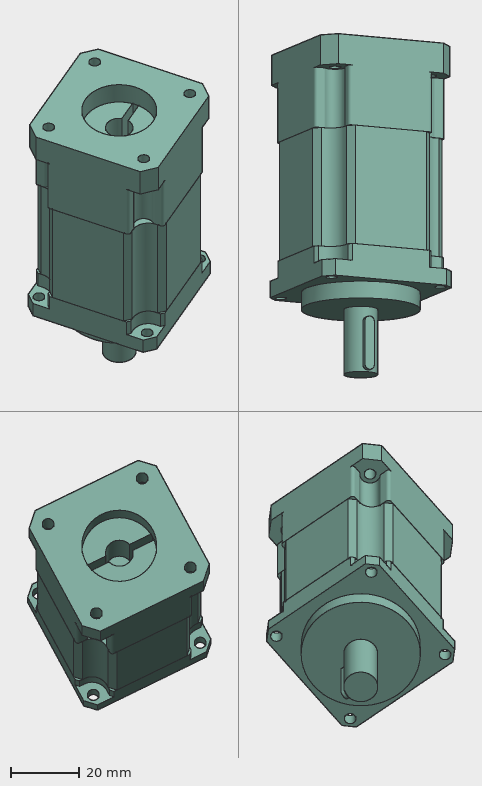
import cadquery as cq


width = 42.0
total_height = 97.0
half_width = width / 2

shaft_overhang = 19.5
pilot_height = 5.0
flange_plate = 4.9
flange_shoulder = 5.0
adapter_height = 27.0
pilot_bottom = shaft_overhang
flange_bottom = pilot_bottom + pilot_height
flange_notch_floor = flange_bottom + flange_plate
ring_bottom = flange_notch_floor + flange_shoulder
adapter_bottom = total_height - adapter_height
ring_height = adapter_bottom - ring_bottom

notch_wall = 13.5
notch_radius = 4.9
notch_size = half_width - notch_wall
flange_lip = 1.0
ring_lip = 1.9

screw_hole_diameter = 3.4
motor_screw_offset = 15.5
output_screw_offset = 17.7

flange_chamfer = 3.0
pilot_diameter = 35.0

shaft_diameter = 10.0
key_width = 3.0
key_length = 16.0
key_gap = 0.5
key_reach = 6.2
key_seat = 3.0

adapter_chamfer = 4.0
adapter_plate = 9.0
head_pocket_radius = 3.0
lip_fillet = 1.0
recess_diameter = 22.0
recess_depth = 7.0

hub_diameter = 23.0
hub_web = 5.0
input_bore_diameter = 8.05
clamp_slot_width = 2.0
hub_bottom = adapter_bottom
hub_top = total_height - recess_depth
hub_height = hub_top - hub_bottom

corners = [(sx, sy) for sx in (-1, 1) for sy in (-1, 1)]


def square_block(bottom, height):
    return cq.Workplane("XY").workplane(offset=bottom).rect(width, width).extrude(height)


def cylinder(diameter, bottom, height):
    return cq.Workplane("XY").workplane(offset=bottom).circle(diameter / 2).extrude(height)


def at_corners(offset):
    return [(sx * offset, sy * offset) for sx, sy in corners]


def corner_cutter(sx, sy, lip, bottom, height):
    """Prism that removes one corner: a square notch whose mouths widen at 45 degrees by `lip`."""
    lip_start = half_width - lip
    lip_end = notch_wall - lip
    outline = [
        (lip_end, half_width),
        (notch_wall, lip_start),
        (notch_wall, notch_wall),
        (lip_start, notch_wall),
        (half_width, lip_end),
        (half_width, half_width),
    ]
    points = [(sx * x, sy * y) for x, y in outline]
    return cq.Workplane("XY").workplane(offset=bottom).polyline(points).close().extrude(height)


def rounded_corner_cutter(sx, sy, lip, bottom, height):
    """Corner prism with its inner edge rounded."""
    cutter = corner_cutter(sx, sy, lip, bottom, height)
    inner_edge = cq.selectors.NearestToPointSelector((sx * notch_wall, sy * notch_wall, bottom + height / 2))
    return cutter.edges(inner_edge).fillet(notch_radius)


def cut_screw_holes(body, offset, bottom, height):
    holes = (
        cq.Workplane("XY")
        .workplane(offset=bottom)
        .pushPoints(at_corners(offset))
        .circle(screw_hole_diameter / 2)
        .extrude(height)
    )
    return body.cut(holes)


def make_output_flange():
    """Square mounting flange with notched corners, a round pilot below and a shaft hole."""
    height = ring_bottom - flange_bottom
    flange = square_block(flange_bottom, height).edges("|Z").chamfer(flange_chamfer)
    for sx, sy in corners:
        flange = flange.cut(rounded_corner_cutter(sx, sy, flange_lip, flange_notch_floor, flange_shoulder))
    flange = cut_screw_holes(flange, output_screw_offset, flange_bottom, height)
    flange = flange.union(cylinder(pilot_diameter, pilot_bottom, pilot_height))
    return flange.cut(cylinder(shaft_diameter, pilot_bottom, ring_bottom - pilot_bottom))


def make_ring_housing():
    """Middle section with full-height corner notches and a shaft hole."""
    ring = square_block(ring_bottom, ring_height)
    for sx, sy in corners:
        ring = ring.cut(rounded_corner_cutter(sx, sy, ring_lip, ring_bottom, ring_height))
    return ring.cut(cylinder(shaft_diameter, ring_bottom, ring_height))


def make_adapter_walls():
    """Lower adapter section: square notches opened by round screw-head pockets, with eased edges."""
    height = adapter_height - adapter_plate
    walls = square_block(adapter_bottom, height)
    notches = (
        cq.Workplane("XY")
        .workplane(offset=adapter_bottom)
        .pushPoints(at_corners(half_width - notch_size / 2))
        .rect(notch_size, notch_size)
        .extrude(height)
    )
    pockets = (
        cq.Workplane("XY")
        .workplane(offset=adapter_bottom)
        .pushPoints(at_corners(motor_screw_offset))
        .circle(head_pocket_radius)
        .extrude(height)
    )
    return walls.cut(notches).cut(pockets).edges("|Z").fillet(lip_fillet)


def make_motor_adapter():
    """Motor flange with a centring recess that opens into the wider hub cavity below."""
    plate_bottom = total_height - adapter_plate
    plate = square_block(plate_bottom, adapter_plate).edges("|Z").chamfer(adapter_chamfer)
    plate = cut_screw_holes(plate, motor_screw_offset, plate_bottom, adapter_plate)
    adapter = plate.union(make_adapter_walls())
    adapter = adapter.cut(cylinder(recess_diameter, hub_top, recess_depth))
    return adapter.cut(cylinder(hub_diameter, hub_bottom, hub_height))


def make_clamp_hub():
    """Round hub with a motor bore and a slot across its full diameter."""
    cut_bottom = hub_bottom + hub_web
    cut_depth = hub_top - cut_bottom
    slot = (
        cq.Workplane("XY")
        .workplane(offset=cut_bottom)
        .rect(clamp_slot_width, hub_diameter)
        .extrude(cut_depth)
    )
    bore = cylinder(input_bore_diameter, cut_bottom, cut_depth)
    return cylinder(hub_diameter, hub_bottom, hub_height).cut(bore).cut(slot)


def make_shaft():
    """Shaft through flange and ring housing: clamp hub on top, round-ended output key on the +Y side."""
    key = (
        cq.Workplane("XZ", origin=(0, key_seat, key_gap + key_length / 2))
        .slot2D(key_length, key_width, 90)
        .extrude(key_seat - key_reach)
    )
    return cylinder(shaft_diameter, 0, hub_bottom).union(make_clamp_hub()).union(key)


output_flange = make_output_flange()
ring_housing = make_ring_housing()
motor_adapter = make_motor_adapter()
shaft = make_shaft()

result = cq.Compound.makeCompound([
    output_flange.val(),
    ring_housing.val(),
    motor_adapter.val(),
    shaft.val(),
])